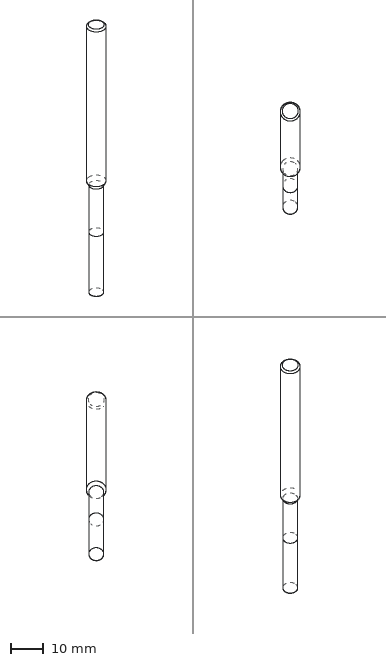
import cadquery as cq
import math

total_length = 100.8
shank_diameter = 6.0
neck_diameter = 4.5
shank_bottom = 42.4
taper_length = 1.5
tip_length = 23.3
point_angle = 140.0
chamfer_width = 0.6
chamfer_height = 0.6

shank_radius = shank_diameter / 2
neck_radius = neck_diameter / 2
point_height = neck_radius / math.tan(math.radians(point_angle / 2))


def revolve_profile(points):
    """Revolve a closed (radius, height) outline around the Z axis."""
    return cq.Workplane("XZ").polyline(points).close().revolve(360, (0, 0, 0), (0, 1, 0))


def make_shank():
    """Chamfered shank that tapers down to the neck."""
    return revolve_profile([
        (0, tip_length),
        (neck_radius, tip_length),
        (neck_radius, shank_bottom - taper_length),
        (shank_radius, shank_bottom),
        (shank_radius, total_length - chamfer_height),
        (shank_radius - chamfer_width, total_length),
        (0, total_length),
    ])


def make_tip():
    """Cylindrical cutting tip with a conical point."""
    return revolve_profile([
        (0, 0),
        (neck_radius, point_height),
        (neck_radius, tip_length),
        (0, tip_length),
    ])


shank = make_shank()
tip = make_tip()

result = cq.Compound.makeCompound([shank.val(), tip.val()])